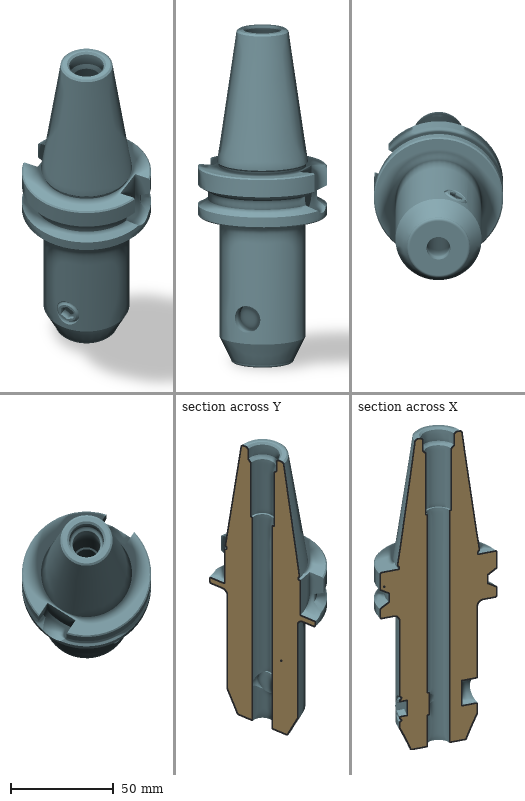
import cadquery as cq
import math

total_length = 165.4
body_radius = 21.0
nose_height = 12.9
nose_tip_radius = 15.4
nose_round = 1.3

flange_radius = 31.51
flange_bottom = 73.0
flange_top = 97.8
flange_chamfer = 0.7
shoulder_fillet = 3.0
groove_radius = 26.6
groove_bottom = 81.2
groove_top = 85.7
groove_side_rise = (flange_radius - groove_radius) * math.tan(math.radians(30))

taper_base = 99.7
taper_base_radius = 22.2
taper_ratio = 7 / 24
taper_chamfer = 0.8
neck_radius = 21.3
taper_top_radius = taper_base_radius - (total_length - taper_base) * taper_ratio / 2
taper_chamfer_radius = taper_top_radius + taper_chamfer * taper_ratio / 2

bore_radius = 5.8
thread_radius = 6.8
thread_depth = 41.4
pilot_radius = 8.5
pilot_depth = 7.0
mouth_radius = 9.5

slot_width = 16.2
slot_floor = 22.5
slot_bottom = 76.5

screw_height = 22.8
screw_radius = 6.04
screw_face_radius = 4.8
screw_tip = 5.0
screw_face = 21.0
hole_mouth_radius = 7.0
hex_across_flats = 6.8
hex_depth = 4.1

balance_height = 25.1
balance_radius = 6.6
balance_depth = 8.3


def turned_body():
    """Outer profile of the holder, revolved about Z."""
    diagonal = math.sqrt(0.5)
    round_mid = (
        nose_tip_radius - nose_round * (1 - diagonal),
        nose_round * (1 - diagonal),
    )
    fillet_mid = (
        body_radius + shoulder_fillet * (1 - diagonal),
        flange_bottom - shoulder_fillet * (1 - diagonal),
    )
    profile = (
        cq.Workplane("XZ")
        .lineTo(nose_tip_radius - nose_round, 0)
        .threePointArc(round_mid, (nose_tip_radius, nose_round))
        .lineTo(body_radius, nose_height)
        .lineTo(body_radius, flange_bottom - shoulder_fillet)
        .threePointArc(fillet_mid, (body_radius + shoulder_fillet, flange_bottom))
        .lineTo(flange_radius - flange_chamfer, flange_bottom)
        .lineTo(flange_radius, flange_bottom + flange_chamfer)
        .lineTo(flange_radius, groove_bottom - groove_side_rise)
        .lineTo(groove_radius, groove_bottom)
        .lineTo(groove_radius, groove_top)
        .lineTo(flange_radius, groove_top + groove_side_rise)
        .lineTo(flange_radius, flange_top - flange_chamfer)
        .lineTo(flange_radius - flange_chamfer, flange_top)
        .lineTo(neck_radius, flange_top)
        .lineTo(neck_radius, taper_base - (taper_base_radius - neck_radius))
        .lineTo(taper_base_radius, taper_base)
        .lineTo(taper_chamfer_radius, total_length - taper_chamfer)
        .lineTo(taper_top_radius - taper_chamfer, total_length)
        .lineTo(0, total_length)
        .close()
    )
    return profile.revolve(360, (0, 0, 0), (0, 1, 0))


def stepped_bore():
    """Through bore, widened at the top by a thread hole and a countersunk pilot."""
    pilot_bottom = total_length - pilot_depth
    thread_bottom = total_length - thread_depth
    profile = (
        cq.Workplane("XZ")
        .lineTo(bore_radius, 0)
        .lineTo(bore_radius, thread_bottom)
        .lineTo(thread_radius, thread_bottom)
        .lineTo(thread_radius, pilot_bottom - (pilot_radius - thread_radius))
        .lineTo(pilot_radius, pilot_bottom)
        .lineTo(pilot_radius, total_length - (mouth_radius - pilot_radius))
        .lineTo(mouth_radius, total_length)
        .lineTo(0, total_length)
        .close()
    )
    return profile.revolve(360, (0, 0, 0), (0, 1, 0))


def drive_slot(side):
    """Round-bottomed slot open to the top; side is +1 for +X and -1 for -X."""
    half_width = slot_width / 2
    arc_height = slot_bottom + half_width
    return (
        cq.Workplane("YZ", origin=(side * slot_floor, 0, 0))
        .moveTo(-half_width, flange_top)
        .lineTo(-half_width, arc_height)
        .threePointArc((0, slot_bottom), (half_width, arc_height))
        .lineTo(half_width, flange_top)
        .close()
        .extrude(side * flange_radius)
    )


def turned_along_y(points):
    """Solid of (radius, y) points revolved about the screw axis, parallel to Y."""
    return (
        cq.Workplane("XY", origin=(0, 0, screw_height))
        .polyline(points)
        .close()
        .revolve(360, (0, 0, 0), (0, 1, 0))
    )


def screw_hole():
    """Radial hole with a 45 degree countersink at the body surface."""
    sink_depth = hole_mouth_radius - screw_radius
    return turned_along_y([
        (0, 0),
        (screw_radius, 0),
        (screw_radius, sink_depth - body_radius),
        (hole_mouth_radius, -body_radius),
        (hole_mouth_radius, -flange_radius),
        (0, -flange_radius),
    ])


def clamping_screw():
    """Screw with a chamfered outer end and a hexagon socket, corners up and down."""
    screw_chamfer = screw_radius - screw_face_radius
    screw = turned_along_y([
        (0, -screw_tip),
        (screw_radius, -screw_tip),
        (screw_radius, screw_chamfer - screw_face),
        (screw_face_radius, -screw_face),
        (0, -screw_face),
    ])
    hex_across_corners = hex_across_flats / math.cos(math.radians(30))
    socket = (
        cq.Workplane("XZ", origin=(0, -screw_face, screw_height))
        .transformed(rotate=(0, 0, 90))
        .polygon(6, hex_across_corners)
        .extrude(-hex_depth)
    )
    return screw.cut(socket)


def balance_hole():
    """Blind radial hole on the side opposite the screw."""
    return (
        cq.Workplane("XZ", origin=(0, body_radius, balance_height))
        .circle(balance_radius)
        .extrude(balance_depth)
    )


result = turned_body().cut(stepped_bore())
for slot_side in (-1, 1):
    result = result.cut(drive_slot(slot_side))
result = result.cut(screw_hole()).union(clamping_screw()).cut(balance_hole())